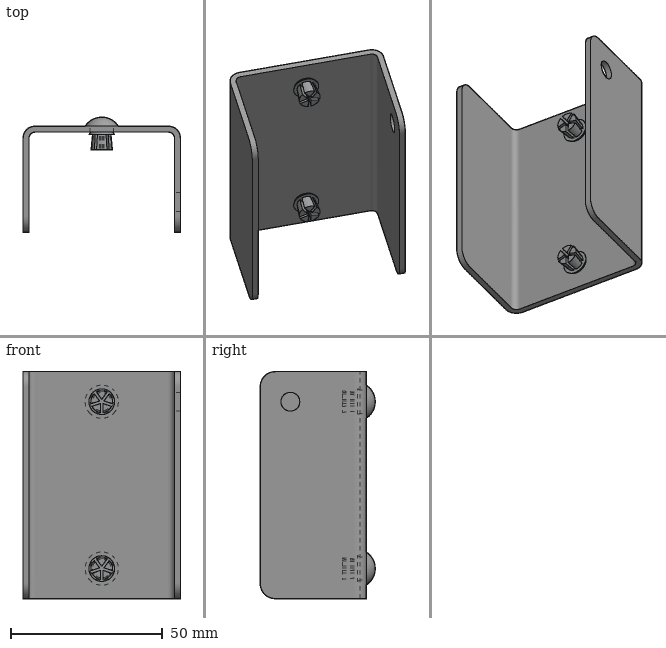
import cadquery as cq

height = 75.0
width = 52.0
depth = 35.0
thickness = 2.0
outer_bend_radius = 4.0
inner_bend_radius = outer_bend_radius - thickness
corner_radius = 5.0

side_hole_diameter = 6.2
hole_inset = 10.0

rivet_inset = 10.0
dome_diameter = 10.95
dome_height = 3.0
shank_diameter = 7.65
collar_diameter = 8.5
collar_length = 0.8
leg_root_diameter = 6.15
leg_tip_diameter = 7.1
rivet_reach = 5.85
slot_width = 0.9
slot_count = 5

web_inner_y = -thickness
collar_end_y = web_inner_y - collar_length
leg_tip_y = web_inner_y - rivet_reach
rivet_heights = [rivet_inset, height - rivet_inset]


def make_bracket():
    outer = cq.Workplane("XY").box(width, depth, height, centered=(True, False, False))
    outer = outer.translate((0, -depth, 0)).edges("|Z and >Y").fillet(outer_bend_radius)

    inner_width = width - 2 * thickness
    inner_depth = depth - thickness
    inner = cq.Workplane("XY").box(inner_width, inner_depth, height, centered=(True, False, False))
    inner = inner.translate((0, -depth, 0)).edges("|Z and >Y").fillet(inner_bend_radius)

    channel = outer.cut(inner).edges("|X and <Y").fillet(corner_radius)

    side_hole = (
        cq.Workplane("YZ", origin=(width / 2 - thickness, 0, 0))
        .center(-depth + hole_inset, height - hole_inset)
        .circle(side_hole_diameter / 2)
        .extrude(thickness)
    )
    channel = channel.cut(side_hole)

    for z in rivet_heights:
        rivet_hole = cq.Workplane("XZ", origin=(0, 0, z)).circle(shank_diameter / 2).extrude(thickness)
        channel = channel.cut(rivet_hole)
    return channel


def make_leg_slots():
    """Radial slots that split the rivet end into legs; the first points to -Z."""
    leg_length = collar_end_y - leg_tip_y
    slots = cq.Workplane("XY")
    for i in range(slot_count):
        slot = cq.Workplane("XY").box(slot_width, leg_length, leg_tip_diameter, centered=(True, False, False))
        slot = slot.translate((0, leg_tip_y, -leg_tip_diameter))
        slots = slots.add(slot.rotate((0, 0, 0), (0, 1, 0), i * 360 / slot_count))
    return slots.combine()


def make_rivet(z):
    dome_radius = ((dome_diameter / 2) ** 2 + dome_height**2) / (2 * dome_height)
    dome_mid_y = dome_height / 2
    dome_center_y = dome_height - dome_radius
    dome_mid_x = (dome_radius**2 - (dome_mid_y - dome_center_y) ** 2) ** 0.5

    rivet = (
        cq.Workplane("XY")
        .moveTo(0, dome_height)
        .threePointArc((dome_mid_x, dome_mid_y), (dome_diameter / 2, 0))
        .lineTo(shank_diameter / 2, 0)
        .lineTo(shank_diameter / 2, web_inner_y)
        .lineTo(collar_diameter / 2, collar_end_y)
        .lineTo(leg_root_diameter / 2, collar_end_y)
        .lineTo(leg_tip_diameter / 2, leg_tip_y)
        .lineTo(0, leg_tip_y)
        .close()
        .revolve(360, (0, 0, 0), (0, 1, 0))
    )
    return rivet.cut(make_leg_slots()).translate((0, 0, z))


bracket = make_bracket()
rivets = [make_rivet(z) for z in rivet_heights]

result = cq.Compound.makeCompound([bracket.val(), *[rivet.val() for rivet in rivets]])